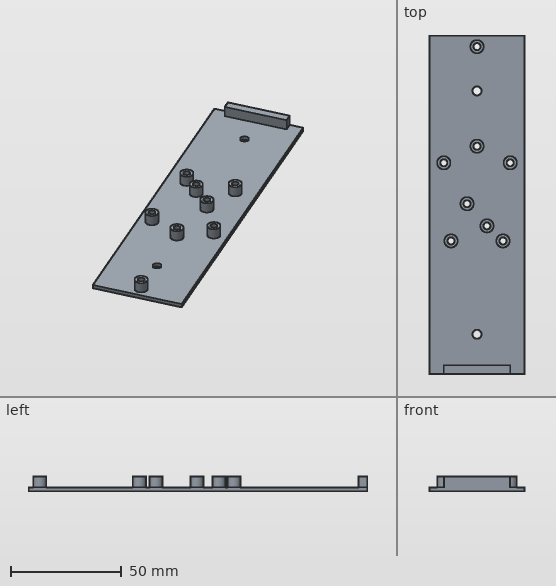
import cadquery as cq

plate_width = 43.0
plate_length = 153.0
plate_thickness = 1.85
front_edge_y = -plate_length / 2
rear_edge_y = plate_length / 2

raised_height = 5.0
total_height = plate_thickness + raised_height

standoff_diameter = 6.0
standoff_bore = 3.1

rear_standoff_setback = 5.0
middle_standoff_setback = 50.0
rear_standoff_y = rear_edge_y - rear_standoff_setback
middle_standoff_y = rear_edge_y - middle_standoff_setback

wide_pair_spacing = 30.0
wide_pair_offset = 7.5
wide_pair_y = middle_standoff_y - wide_pair_offset
narrow_pair_spacing = 23.5
narrow_pair_offset = 35.3
narrow_pair_y = wide_pair_y - narrow_pair_offset

diagonal_spacing_x = 9.0
diagonal_spacing_y = 10.0
diagonal_left_y = 0.5
diagonal_right_y = diagonal_left_y - diagonal_spacing_y

mounting_hole_diameter = 4.0
rear_hole_setback = 25.0
front_hole_setback = 18.0
rear_hole_y = rear_edge_y - rear_hole_setback
front_hole_y = front_edge_y + front_hole_setback

bar_length = 30.0
bar_depth = 4.0

standoff_points = [
    (0, rear_standoff_y),
    (0, middle_standoff_y),
    (-wide_pair_spacing / 2, wide_pair_y),
    (wide_pair_spacing / 2, wide_pair_y),
    (-diagonal_spacing_x / 2, diagonal_left_y),
    (diagonal_spacing_x / 2, diagonal_right_y),
    (-narrow_pair_spacing / 2, narrow_pair_y),
    (narrow_pair_spacing / 2, narrow_pair_y),
]
mounting_hole_points = [(0, rear_hole_y), (0, front_hole_y)]


def make_plate():
    """Flat rectangular base."""
    return cq.Workplane("XY").box(
        plate_width, plate_length, plate_thickness, centered=(True, True, False)
    )


def make_cylinders(points, diameter, height):
    """Upright cylinders standing on Z = 0 at the given points."""
    return cq.Workplane("XY").pushPoints(points).circle(diameter / 2).extrude(height)


def make_stop_bar():
    """Rectangular bar running along the front edge, from the underside up."""
    return (
        cq.Workplane("XY")
        .center(0, front_edge_y)
        .box(bar_length, bar_depth, total_height, centered=(True, False, False))
    )


result = (
    make_plate()
    .union(make_stop_bar())
    .union(make_cylinders(standoff_points, standoff_diameter, total_height))
    .cut(make_cylinders(standoff_points, standoff_bore, total_height))
    .cut(make_cylinders(mounting_hole_points, mounting_hole_diameter, plate_thickness))
)